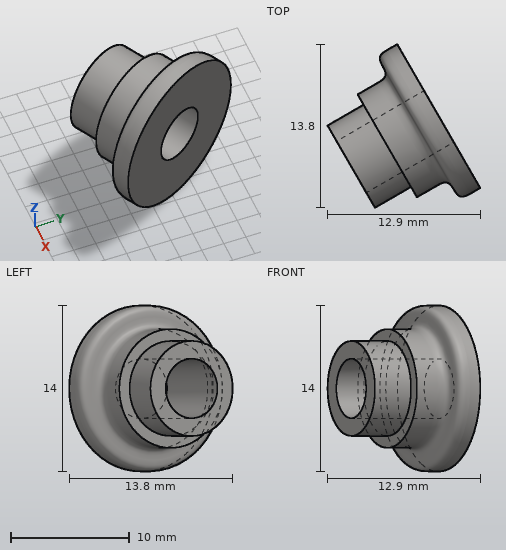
import cadquery as cq

flange_diameter = 13.98
collar_diameter = 10.0
nose_diameter = 8.0
bore_diameter = 5.0
total_length = 8.5
nose_length = 3.5
flange_thickness = 2.0
axis_angle = 30.0
blend_fullness = 0.8

flange_radius = flange_diameter / 2
collar_radius = collar_diameter / 2
nose_radius = nose_diameter / 2
bore_radius = bore_diameter / 2
collar_top = total_length - nose_length

blend_size = (flange_radius - collar_radius) / 2
blend_meeting_radius = collar_radius + blend_size


def toward(start, corner):
    """Point on the way from start to corner, used as a blend handle."""
    return tuple(a + blend_fullness * (b - a) for a, b in zip(start, corner))


def blend(profile, start, corner, end):
    """Add a smooth curve tangent to both sides of a corner, fuller than an arc."""
    return profile.bezier([start, toward(start, corner), toward(end, corner), end])


rim_start = (flange_radius, flange_thickness - blend_size)
rim_corner = (flange_radius, flange_thickness)
blend_meeting = (blend_meeting_radius, flange_thickness)
root_corner = (collar_radius, flange_thickness)
root_end = (collar_radius, flange_thickness + blend_size)

profile = cq.Workplane("XY").moveTo(bore_radius, 0).lineTo(flange_radius, 0).lineTo(*rim_start)
profile = blend(profile, rim_start, rim_corner, blend_meeting)
profile = blend(profile, blend_meeting, root_corner, root_end)
profile = (
    profile.lineTo(collar_radius, collar_top)
    .lineTo(nose_radius, collar_top)
    .lineTo(nose_radius, total_length)
    .lineTo(bore_radius, total_length)
    .close()
)
bushing = profile.revolve(360, (0, 0, 0), (0, 1, 0))

result = bushing.rotate((0, 0, 0), (0, 0, 1), 90 + axis_angle)